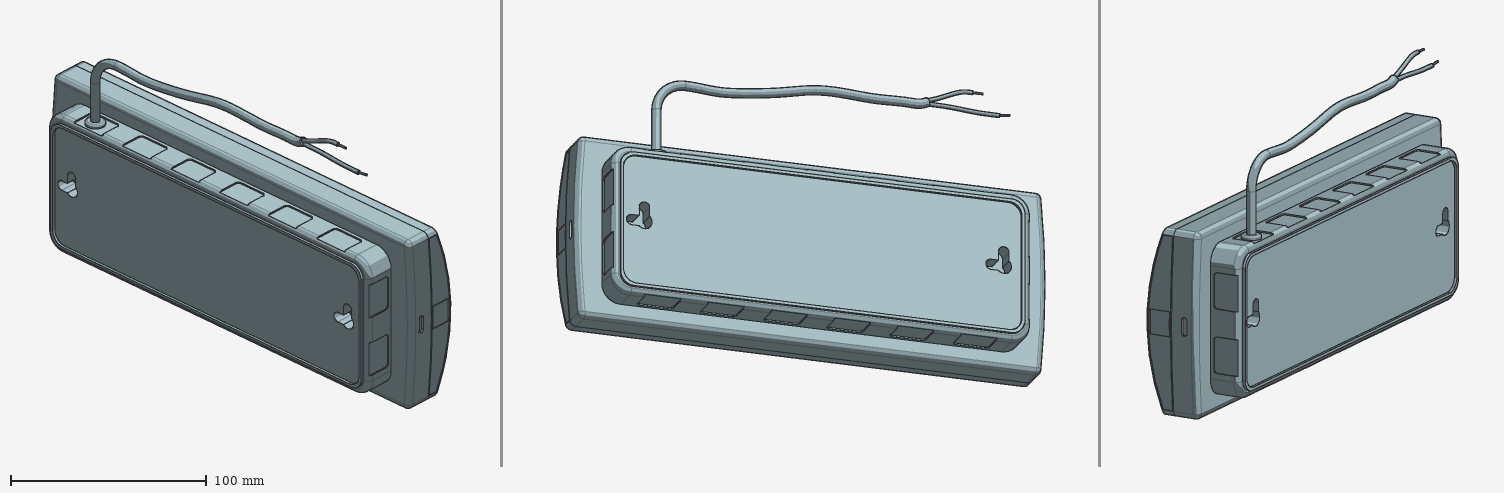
import cadquery as cq

head_length = 255.0
end_bow = 2.5
head_height = 99.2
head_back_y = 18.4
seam_y = 33.0
front_edge_y = 38.8
front_y = 47.5
head_corner_radius = 3.3
head_back_radius = 3.0

end_panel_margin = 0.8
end_panel_depth = 0.3
end_window_height = 13.3
end_window_margin = 1.5
end_window_depth = 0.5

end_slot_height = 10.0
end_slot_width = 3.0
end_slot_depth = 1.3
end_slot_y = 25.5

box_length = 226.2
box_height = 80.5
box_corner_radius = 10.2
box_back_radius = 3.0
rim_height = 1.5
rim_inset = 3.8
rim_width = 1.5
rim_corner_radius = 7.1

knockout_width = 19.5
knockout_pitch = 34.2
knockout_depth = 0.8
knockout_front_y = 16.3
knockout_corner_radius = 2.0
knockouts_per_long_side = 6
knockouts_per_short_side = 2

keyhole_spacing = 194.3
first_keyhole_x = -96.0
keyhole_head_radius = 4.0
keyhole_slot_width = 5.5
keyhole_up_reach = 10.5
keyhole_side_reach = 9.7
keyhole_depth = 10.2

cable_x = -86.7
cable_y = 9.5
cable_diameter = 4.8
cable_bend_start_z = 64.5
cable_bend_radius = 15.3
grommet_diameter = 10.7
grommet_height = 2.0
grommet_edge_radius = 1.3
wire_diameter = 2.17
strand_diameter = 1.0
cable_run = [(-53.0, 78.8), (-36.5, 80.0), (-20.0, 82.5), (1.3, 86.5), (16.8, 86.5), (33.5, 85.7),
             (50.0, 86.0), (60.0, 87.5)]
upper_wire_run = [(59.5, 88.0), (65.8, 90.3), (74.2, 93.8), (79.0, 95.4), (84.2, 95.5)]
upper_strand_tip = (89.8, 95.5)
lower_wire_run = [(59.5, 86.5), (71.7, 86.2), (85.5, 85.2), (98.7, 85.0)]
lower_strand_tip = (104.3, 85.7)

half_length = head_length / 2
half_height = head_height / 2
corner_x = half_length - end_bow
box_back_y = rim_height
box_top_z = box_height / 2
knockout_floor_z = box_top_z - knockout_depth


def box_between(x_range, y_range, z_range):
    """Rectangular block spanning the given ranges."""
    (x0, x1), (y0, y1), (z0, z1) = x_range, y_range, z_range
    return cq.Workplane("XY").box(x1 - x0, y1 - y0, z1 - z0, centered=False).translate((x0, y0, z0))


def rounded_plate(length, height, radius, y0, y1):
    """Plate in the XZ plane with rounded corners, from y0 to y1."""
    plate = cq.Workplane("XZ", origin=(0, y1, 0)).rect(length, height).extrude(y1 - y0)
    return plate.edges("|Y").fillet(radius)


def make_bowed_plate():
    """Full-depth head outline with bowed ends, before its edges are rounded."""
    return (
        cq.Workplane("XZ", origin=(0, front_y, 0))
        .moveTo(-corner_x, -half_height)
        .lineTo(corner_x, -half_height)
        .threePointArc((half_length, 0), (corner_x, half_height))
        .lineTo(-corner_x, half_height)
        .threePointArc((-half_length, 0), (-corner_x, -half_height))
        .close()
        .extrude(front_y - head_back_y)
    )


def make_arched_block(back_y, front_inset):
    """Block over the whole head length with a flat back and the arched light side, set back by the inset."""
    edge_y = front_edge_y - front_inset
    return (
        cq.Workplane("YZ", origin=(-half_length, 0, 0))
        .moveTo(back_y, -half_height)
        .lineTo(edge_y, -half_height)
        .threePointArc((front_y - front_inset, 0), (edge_y, half_height))
        .lineTo(back_y, half_height)
        .close()
        .extrude(head_length)
    )


def make_head():
    plate = make_bowed_plate().edges("|Y").fillet(head_corner_radius)
    plate = plate.faces("<Y").edges().fillet(head_back_radius)
    return plate.intersect(make_arched_block(head_back_y, 0))


def head_slice(y0, y1):
    """Part of the lamp head between two Y planes."""
    slab = box_between((-half_length, half_length), (y0, y1), (-half_height, half_height))
    return make_head().intersect(slab)


def make_end_recess(height, margin, depth):
    """Cutter for a recess in the left end that keeps a margin to the seam and to the light side."""
    block = make_arched_block(seam_y + margin, margin)
    end_zone = box_between((-half_length, -corner_x + depth), (seam_y, front_y), (-height / 2, height / 2))
    floor = make_bowed_plate().translate((depth, 0, 0))
    return block.intersect(end_zone).cut(floor)


def make_lens():
    lens_body = head_slice(seam_y, front_y)
    panel = make_end_recess(head_height - 2 * head_corner_radius, end_panel_margin, end_panel_depth)
    window = make_end_recess(end_window_height, end_window_margin, end_window_depth)
    for recess in (panel, window):
        lens_body = lens_body.cut(recess).cut(recess.mirror("YZ"))
    return lens_body


def make_end_slots():
    slots = cq.Workplane("YZ", origin=(-half_length, 0, 0)).center(end_slot_y, 0)
    slots = slots.slot2D(end_slot_height, end_slot_width, 90).extrude(end_slot_depth)
    return slots.union(slots.mirror("YZ"))


def make_mounting_box():
    box = rounded_plate(box_length, box_height, box_corner_radius, box_back_y, head_back_y)
    box = box.faces("<Y").edges().fillet(box_back_radius)
    rim_length = box_length - 2 * rim_inset
    rim_outer_height = box_height - 2 * rim_inset
    rim = rounded_plate(rim_length, rim_outer_height, rim_corner_radius, 0, box_back_y)
    opening = rounded_plate(
        rim_length - 2 * rim_width, rim_outer_height - 2 * rim_width, rim_corner_radius, 0, box_back_y
    )
    return box.union(rim.cut(opening))


def make_knockout(side_distance):
    """Cutter for one recess in the +Z wall at the given distance, open toward the back."""
    cutter = box_between(
        (-knockout_width / 2, knockout_width / 2),
        (box_back_y, knockout_front_y),
        (side_distance - knockout_depth, side_distance),
    )
    return cutter.edges("|Z and >Y").fillet(knockout_corner_radius)


def centered_positions(count, pitch):
    return [(i - (count - 1) / 2) * pitch for i in range(count)]


def cut_knockouts(body):
    long_side = make_knockout(box_height / 2)
    for x in centered_positions(knockouts_per_long_side, knockout_pitch):
        top = long_side.translate((x, 0, 0))
        body = body.cut(top).cut(top.mirror("XY"))
    short_side = make_knockout(box_length / 2).rotate((0, 0, 0), (0, 1, 0), 90)
    for z in centered_positions(knockouts_per_short_side, knockout_pitch):
        right = short_side.translate((0, 0, z))
        body = body.cut(right).cut(right.mirror("YZ"))
    return body


def mounting_face():
    """Workplane on the back of the mounting box."""
    return cq.Workplane("XZ", origin=(0, box_back_y, 0))


def make_keyhole():
    """L-shaped keyhole cutter: round head with one slot up and one toward -X."""
    slot_radius = keyhole_slot_width / 2
    up_length = keyhole_up_reach + slot_radius
    side_length = keyhole_side_reach + slot_radius
    up_center = up_length / 2 - slot_radius
    side_center = slot_radius - side_length / 2
    head = mounting_face().circle(keyhole_head_radius).extrude(-keyhole_depth)
    up = mounting_face().center(0, up_center).slot2D(up_length, keyhole_slot_width, 90)
    side = mounting_face().center(side_center, 0).slot2D(side_length, keyhole_slot_width)
    return head.union(up.extrude(-keyhole_depth)).union(side.extrude(-keyhole_depth))


def cable_plane():
    """XZ workplane through the middle of the cable."""
    return cq.Workplane("XZ", origin=(0, cable_y, 0))


def round_strand(path, start, direction, diameter):
    """Round cord swept along a path that leaves the start point in the given direction."""
    section = cq.Plane(origin=start, xDir=(0, 1, 0), normal=direction)
    return cq.Workplane(section).circle(diameter / 2).sweep(path)


def make_wire(run, strand_tip):
    """Insulated wire along the run, with a bare straight strand out to the tip."""
    points = [(x, cable_y, z) for x, z in run]
    along_x = (1, 0, 0)
    step_x = run[1][0] - run[0][0]
    step_z = run[1][1] - run[0][1]
    path = cable_plane().spline(run, tangents=[(step_x, step_z), (1, 0)])
    wire = round_strand(path, points[0], (step_x, 0, step_z), wire_diameter)
    strand_path = cable_plane().moveTo(*run[-1]).lineTo(*strand_tip)
    return wire.union(round_strand(strand_path, points[-1], along_x, strand_diameter))


def make_cable():
    grommet = (
        cq.Workplane("XY", origin=(cable_x, cable_y, knockout_floor_z))
        .circle(grommet_diameter / 2)
        .extrude(grommet_height)
        .faces(">Z")
        .edges()
        .fillet(grommet_edge_radius)
    )
    bend_end = (cable_x + cable_bend_radius, cable_bend_start_z + cable_bend_radius)
    riser_path = (
        cable_plane().moveTo(cable_x, knockout_floor_z)
        .lineTo(cable_x, cable_bend_start_z)
        .radiusArc(bend_end, cable_bend_radius)
    )
    riser = round_strand(riser_path, (cable_x, cable_y, knockout_floor_z), (0, 0, 1), cable_diameter)
    run_path = cable_plane().spline([bend_end] + cable_run, tangents=[(1, 0), (2, 1)])
    run = round_strand(run_path, (bend_end[0], cable_y, bend_end[1]), (1, 0, 0), cable_diameter)
    cable = grommet.union(riser).union(run)
    cable = cable.union(make_wire(upper_wire_run, upper_strand_tip))
    return cable.union(make_wire(lower_wire_run, lower_strand_tip))


def make_housing():
    body = head_slice(head_back_y, seam_y).cut(make_end_slots())
    body = cut_knockouts(body.union(make_mounting_box()))
    keyhole = make_keyhole()
    for x in (first_keyhole_x, first_keyhole_x + keyhole_spacing):
        body = body.cut(keyhole.translate((x, 0, 0)))
    return body.union(make_cable())


lens = make_lens()
housing = make_housing()

result = cq.Compound.makeCompound([lens.val(), housing.val()])